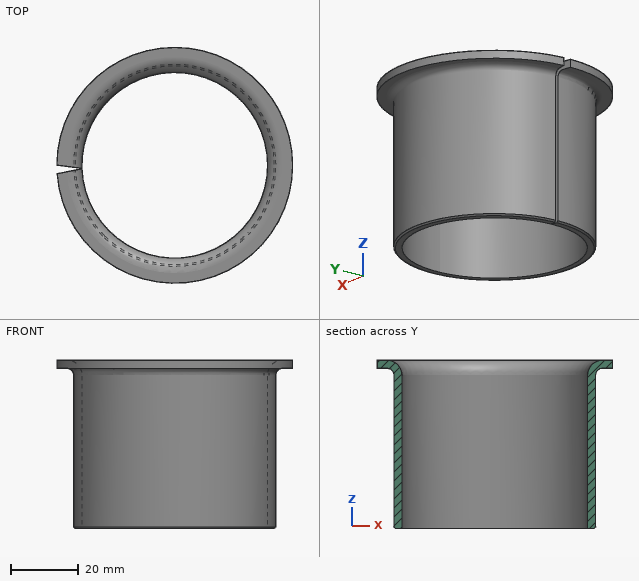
import cadquery as cq
import math

bore_radius = 27.5
wall = 2.5
flange_radius = 35.0
height = 50.0

neck_radius = 2.0
bottom_chamfer = 0.5

split_width_at_bore = 0.05
split_width_at_rim = 2.5
split_turn = 2.0
split_overrun = 1.0

sleeve_radius = bore_radius + wall
mouth_radius = neck_radius + wall
bend_center_radius = sleeve_radius + neck_radius
bend_center_height = height - mouth_radius
flange_underside = height - wall


def make_bushing():
    """Revolve the wall section, bent outward from sleeve to flange."""
    diagonal = math.sqrt(0.5)
    neck_mid = (
        bend_center_radius - neck_radius * diagonal,
        bend_center_height + neck_radius * diagonal,
    )
    mouth_mid = (
        bend_center_radius - mouth_radius * diagonal,
        bend_center_height + mouth_radius * diagonal,
    )
    section = (
        cq.Workplane("XZ")
        .moveTo(bore_radius, 0)
        .lineTo(sleeve_radius - bottom_chamfer, 0)
        .lineTo(sleeve_radius, bottom_chamfer)
        .lineTo(sleeve_radius, bend_center_height)
        .threePointArc(neck_mid, (bend_center_radius, flange_underside))
        .lineTo(flange_radius, flange_underside)
        .lineTo(flange_radius, height)
        .lineTo(bend_center_radius, height)
        .threePointArc(mouth_mid, (bore_radius, bend_center_height))
        .close()
    )
    return section.revolve(360, (0, 0, 0), (0, 1, 0))


def make_split():
    """Full-height wedge whose sides spread from the bore to the flange rim."""
    spread = (split_width_at_rim - split_width_at_bore) / (flange_radius - bore_radius)
    outer_radius = flange_radius + split_overrun
    inner_half = split_width_at_bore / 2
    outer_half = (split_width_at_rim + spread * split_overrun) / 2
    wedge = (
        cq.Workplane("XY")
        .moveTo(-bore_radius + split_overrun, inner_half)
        .lineTo(-bore_radius, inner_half)
        .lineTo(-outer_radius, outer_half)
        .lineTo(-outer_radius, -outer_half)
        .lineTo(-bore_radius, -inner_half)
        .lineTo(-bore_radius + split_overrun, -inner_half)
        .close()
        .extrude(height)
    )
    return wedge.rotate((0, 0, 0), (0, 0, 1), split_turn)


result = make_bushing().cut(make_split())